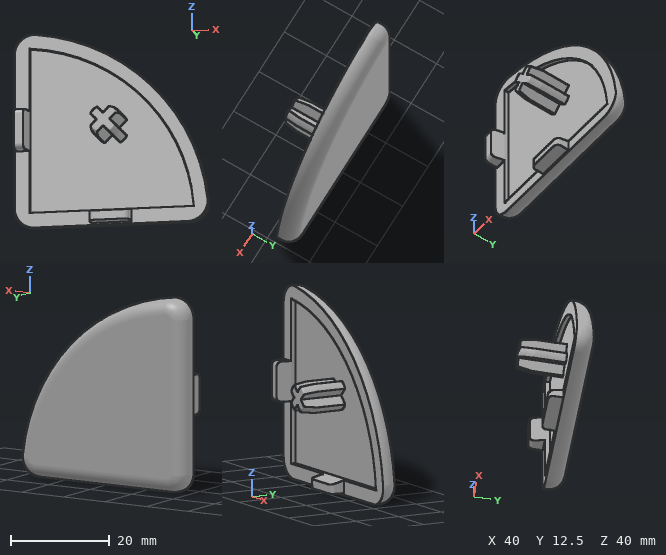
import cadquery as cq
import math

side_length = 40.0
corner_radius = 4.0
plate_thickness = 4.0
outer_edge_radius = 3.0
wall = 3.1
arc_wall = 2.95
pocket_depth = 1.0

arc_radius = corner_radius + math.hypot(side_length - corner_radius, corner_radius)

fixing_center = 20.1
clip_length = 8.32
clip_height = 3.0
clip_setback = 0.45
clip_tip_thickness = 1.92
clip_corner_radius = 1.0
stem_height = 8.5
stem_radius = 3.4
stem_tip_radius = 2.92
stem_taper_length = 3.0
stem_end_fillet = 0.4
stem_arm_width = 1.92


def quarter_disc(inset, radius, depth):
    """Quarter disc about the origin, cut back by inset from both axes, extruded to +Y."""
    reach = math.sqrt(radius**2 - inset**2)
    diagonal = radius / math.sqrt(2)
    return (
        cq.Workplane("XZ")
        .moveTo(inset, inset)
        .lineTo(reach, inset)
        .threePointArc((diagonal, diagonal), (inset, reach))
        .close()
        .extrude(-depth)
    )


def make_plate():
    body = quarter_disc(0, arc_radius, plate_thickness)
    body = body.edges("|Y").fillet(corner_radius)
    body = body.faces(">Y").edges().fillet(outer_edge_radius)
    return body.cut(quarter_disc(wall, arc_radius - arc_wall, pocket_depth))


def make_left_clip():
    """Clip on the X = 0 side, with its inner face sloping to a thinner tip."""
    clip = (
        cq.Workplane("XY")
        .workplane(offset=fixing_center - clip_length / 2)
        .moveTo(clip_setback, 0)
        .lineTo(wall, 0)
        .lineTo(clip_setback + clip_tip_thickness, -clip_height)
        .lineTo(clip_setback, -clip_height)
        .close()
        .extrude(clip_length)
    )
    rounded_block = (
        cq.Workplane("XY")
        .box(wall, clip_height, clip_length, centered=(False, False, True))
        .translate((0, -clip_height, fixing_center))
        .faces("<Y")
        .edges("|X")
        .fillet(clip_corner_radius)
    )
    return clip.intersect(rounded_block)


def make_stem():
    """Cross-shaped stem with a tapered, rounded end, standing on the pocket floor."""
    envelope = (
        cq.Workplane("XY")
        .moveTo(0, pocket_depth)
        .lineTo(stem_radius, pocket_depth)
        .lineTo(stem_radius, stem_taper_length - stem_height)
        .lineTo(stem_tip_radius, -stem_height)
        .lineTo(0, -stem_height)
        .close()
        .revolve(360, (0, 0), (0, 1))
        .faces("<Y")
        .edges()
        .fillet(stem_end_fillet)
    )
    arm = cq.Workplane("XZ", origin=(0, pocket_depth, 0)).rect(2 * stem_radius, stem_arm_width)
    arm = arm.extrude(stem_height + pocket_depth)
    axis_start, axis_end = (0, 0, 0), (0, 1, 0)
    cross = arm.rotate(axis_start, axis_end, 45).union(arm.rotate(axis_start, axis_end, -45))
    return envelope.intersect(cross).translate((fixing_center, 0, fixing_center))


left_clip = make_left_clip()
bottom_clip = left_clip.mirror(cq.Vector(1, 0, -1))

result = make_plate().union(left_clip).union(bottom_clip).union(make_stem())